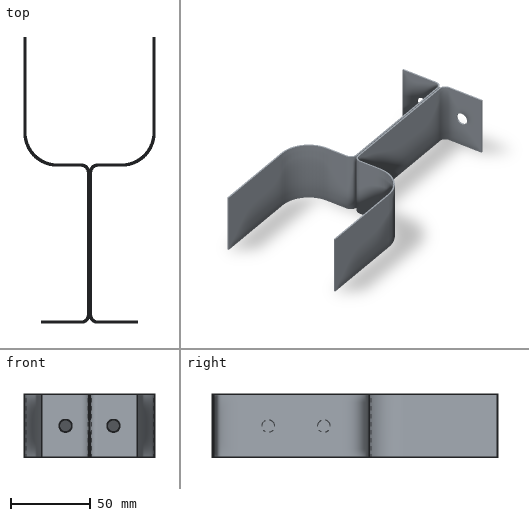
import cadquery as cq
import math

LENGTH = 180.0
CRADLE_WIDTH = 82.5
HEIGHT = 40.0

THICKNESS = 1.0
STRAP_GAP = 0.4
BEND_INNER_RADIUS = 4.0
CORNER_INNER_RADIUS = 20.0
BEND_OUTER_RADIUS = BEND_INNER_RADIUS + THICKNESS
CORNER_OUTER_RADIUS = CORNER_INNER_RADIUS + THICKNESS

ARM_STRAIGHT = 60.0
FLANGE_REACH = 30.2

HOLE_DIAMETER = 8.0
FLANGE_HOLE_X = 15.1
WEB_HOLE_PITCH = 35.1
WEB_HOLE_COUNT = 2

FRONT_Y = -LENGTH / 2
BACK_Y = LENGTH / 2
WEB_X = STRAP_GAP / 2
BEND_CENTER_X = WEB_X + BEND_OUTER_RADIUS
ARM_X = CRADLE_WIDTH / 2
CORNER_START_Y = BACK_Y - ARM_STRAIGHT
CORNER_CENTER_X = ARM_X - CORNER_OUTER_RADIUS
CRADLE_OUTER_Y = CORNER_START_Y - CORNER_OUTER_RADIUS
CRADLE_INNER_Y = CRADLE_OUTER_Y + THICKNESS
WEB_BACK_Y = CRADLE_INNER_Y - BEND_OUTER_RADIUS
WEB_FRONT_Y = FRONT_Y + BEND_OUTER_RADIUS
PLUG_LENGTH = STRAP_GAP + THICKNESS


def arc_middle(center_x, center_y, radius, degrees):
    """Point on a bend arc at the given angle, used as its middle point."""
    angle = math.radians(degrees)
    return center_x + radius * math.cos(angle), center_y + radius * math.sin(angle)


def bent_strap():
    """Strap on the +X side: cradle arm, corner, bend, web, bend and flange."""
    corner = (CORNER_CENTER_X, CORNER_START_Y)
    back_bend = (BEND_CENTER_X, WEB_BACK_Y)
    front_bend = (BEND_CENTER_X, WEB_FRONT_Y)
    return (
        cq.Workplane("XY")
        .workplane(offset=-HEIGHT / 2)
        .moveTo(ARM_X - THICKNESS, BACK_Y)
        .lineTo(ARM_X - THICKNESS, CORNER_START_Y)
        .threePointArc(arc_middle(*corner, CORNER_INNER_RADIUS, -45), (CORNER_CENTER_X, CRADLE_INNER_Y))
        .lineTo(BEND_CENTER_X, CRADLE_INNER_Y)
        .threePointArc(arc_middle(*back_bend, BEND_OUTER_RADIUS, 135), (WEB_X, WEB_BACK_Y))
        .lineTo(WEB_X, WEB_FRONT_Y)
        .threePointArc(arc_middle(*front_bend, BEND_OUTER_RADIUS, 225), (BEND_CENTER_X, FRONT_Y))
        .lineTo(FLANGE_REACH, FRONT_Y)
        .lineTo(FLANGE_REACH, FRONT_Y + THICKNESS)
        .lineTo(BEND_CENTER_X, FRONT_Y + THICKNESS)
        .threePointArc(arc_middle(*front_bend, BEND_INNER_RADIUS, 225), (WEB_X + THICKNESS, WEB_FRONT_Y))
        .lineTo(WEB_X + THICKNESS, WEB_BACK_Y)
        .threePointArc(arc_middle(*back_bend, BEND_INNER_RADIUS, 135), (BEND_CENTER_X, CRADLE_OUTER_Y))
        .lineTo(CORNER_CENTER_X, CRADLE_OUTER_Y)
        .threePointArc(arc_middle(*corner, CORNER_OUTER_RADIUS, -45), (ARM_X, CORNER_START_Y))
        .lineTo(ARM_X, BACK_Y)
        .close()
        .extrude(HEIGHT)
    )


def flange_hole():
    """Cutter along Y through the flange of the +X strap."""
    return (
        cq.Workplane("XZ", origin=(FLANGE_HOLE_X, FRONT_Y, 0))
        .circle(HOLE_DIAMETER / 2)
        .extrude(-THICKNESS)
    )


def web_plug(y):
    """Cylinder from the inner face of the +X web to the outer face of the -X web."""
    return (
        cq.Workplane("YZ", origin=(WEB_X, y, 0))
        .circle(HOLE_DIAMETER / 2)
        .extrude(-PLUG_LENGTH)
    )


plugged_strap = bent_strap().cut(flange_hole())
drilled_strap = plugged_strap.mirror("YZ")

for i in range(WEB_HOLE_COUNT):
    plug = web_plug(FRONT_Y + (i + 1) * WEB_HOLE_PITCH)
    plugged_strap = plugged_strap.union(plug)
    drilled_strap = drilled_strap.cut(plug)

result = cq.Compound.makeCompound([plugged_strap.solids().val(), drilled_strap.solids().val()])